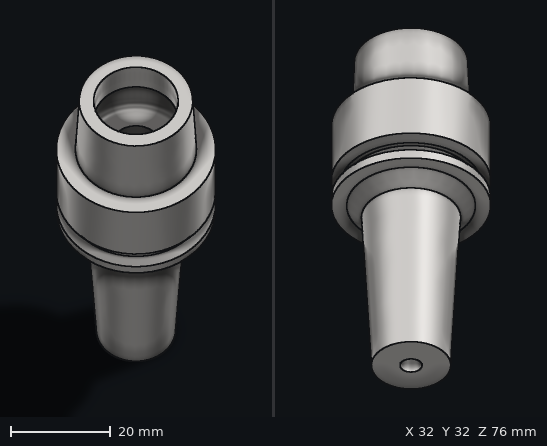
import cadquery as cq

total_height = 76.0
flange_face_z = 60.05
collar_bottom_z = 46.2
rim_top_z = 42.0
flange_bottom_z = 40.0
nose_top_z = 37.0

tip_radius = 8.0
nose_top_radius = 9.95
flange_radius = 32.0 / 2
taper_base_radius = 12.15
taper_top_radius = 11.4

cone_top_radius = nose_top_radius + flange_bottom_z - nose_top_z

groove_radius = 13.2
groove_lip_radius = 14.2
bevel_height = 1.1
groove_top_z = collar_bottom_z - bevel_height
groove_bottom_z = rim_top_z + bevel_height

mouth_radius = 16.95 / 2
mouth_depth = 6.5
chamber_radius = 10.5
chamber_depth = 14.8
chamber_fillet = 2.0
middle_bore_radius = 4.95
middle_bore_depth = 22.8
through_radius = 2.2


def outer_body():
    """Solid of revolution: tapered nose, grooved flange and tapered top."""
    profile = [
        (0, 0),
        (tip_radius, 0),
        (nose_top_radius, nose_top_z),
        (cone_top_radius, flange_bottom_z),
        (flange_radius, flange_bottom_z),
        (flange_radius, rim_top_z),
        (groove_lip_radius, groove_bottom_z),
        (groove_radius, groove_bottom_z),
        (groove_radius, groove_top_z),
        (groove_lip_radius, groove_top_z),
        (flange_radius, collar_bottom_z),
        (flange_radius, flange_face_z),
        (taper_base_radius, flange_face_z),
        (taper_top_radius, total_height),
        (0, total_height),
    ]
    return cq.Workplane("XZ").polyline(profile).close().revolve(360, (0, 0), (0, 1))


def bore(radius, top_depth, bottom_depth):
    """Cylinder on the axis between two depths below the top end."""
    return (
        cq.Workplane("XY")
        .workplane(offset=total_height - bottom_depth)
        .circle(radius)
        .extrude(bottom_depth - top_depth)
    )


def chamber():
    """Wider chamber below the mouth, with a rounded floor edge."""
    cylinder = bore(chamber_radius, mouth_depth, chamber_depth)
    return cylinder.faces("<Z").edges().fillet(chamber_fillet)


result = (
    outer_body()
    .cut(bore(mouth_radius, 0, mouth_depth))
    .cut(chamber())
    .cut(bore(middle_bore_radius, chamber_depth, middle_bore_depth))
    .cut(bore(through_radius, middle_bore_depth, total_height))
)